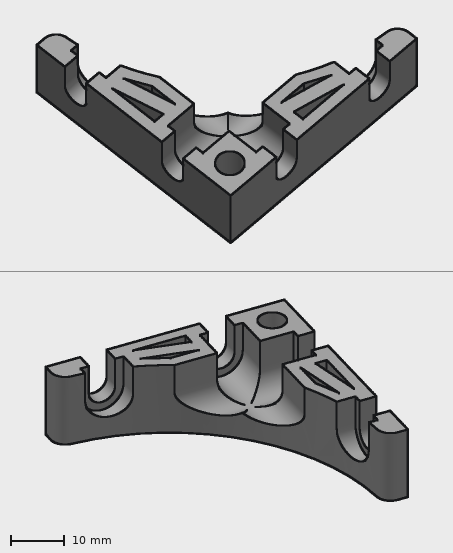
import cadquery as cq
import math

leg = 50.0
height = 15.0
tip_thickness = 5.0
tip_radius = 3.0

screw_diameter = 5.5
head_diameter = 9.0
slot_axis_height = 9.0
wall = 3.5
slot_distances = (15.0, 40.0)

hole_diameter = 5.5
hole_offset = 5.25

window_near = 22.0
window_far = 33.0
window_bend = 28.0
window_bottom = 2.5
window_top = 8.0
brace_rise = 2.35

cut_margin = 0.5


def mirror_leg(shape):
    """Copy a feature of the X leg onto the Y leg, across the bracket's diagonal."""
    corner = (leg, 0, 0)
    return shape.mirror("XZ", corner).rotate(corner, (leg, 0, 1), -90)


def make_body():
    """Bracket with a concave arc centred on the corner opposite the outer one."""
    arc_radius = leg - tip_thickness
    round_x = tip_radius
    round_y = leg - math.sqrt((arc_radius + tip_radius) ** 2 - tip_radius**2)
    shrink = arc_radius / (arc_radius + tip_radius)
    tangent = (round_x * shrink, leg - (leg - round_y) * shrink)
    direction = math.atan2(tangent[1] - round_y, tangent[0] - round_x)
    mid_angle = (direction + math.pi) / 2
    round_mid = (
        round_x + tip_radius * math.cos(mid_angle),
        round_y + tip_radius * math.sin(mid_angle),
    )
    half = arc_radius * math.sqrt(0.5)

    def across(point):
        return (leg - point[1], leg - point[0])

    return (
        cq.Workplane("XY")
        .moveTo(leg, 0)
        .lineTo(0, 0)
        .lineTo(0, round_y)
        .threePointArc(round_mid, tangent)
        .threePointArc((half, leg - half), across(tangent))
        .threePointArc(across(round_mid), across((0, round_y)))
        .lineTo(leg, leg)
        .close()
        .extrude(height)
    )


def slot(x, diameter, start):
    """Round-bottomed slot along +Y, open at the top."""
    radius = diameter / 2
    top = height + cut_margin
    return (
        cq.Workplane("XZ", origin=(x, start, slot_axis_height))
        .moveTo(-radius, top - slot_axis_height)
        .lineTo(-radius, 0)
        .threePointArc((0, -radius), (radius, 0))
        .lineTo(radius, top - slot_axis_height)
        .close()
        .extrude(-leg)
    )


def window(points):
    """Window through the full height; points are (distance from corner, Y)."""
    outline = [(leg - distance, y) for distance, y in points]
    return cq.Workplane("XY").polyline(outline).close().extrude(height)


upper_window = window(
    [(window_far, window_top - brace_rise), (window_bend, window_top), (window_near, window_top)]
)
lower_window = window(
    [
        (window_far, window_bottom),
        (window_near, window_bottom),
        (window_near, window_bottom + brace_rise),
    ]
)

leg_cuts = [upper_window, lower_window]
for distance in slot_distances:
    leg_cuts.append(slot(leg - distance, screw_diameter, -cut_margin))
    leg_cuts.append(slot(leg - distance, head_diameter, wall))

result = make_body()
for cut in leg_cuts:
    result = result.cut(cut).cut(mirror_leg(cut))

corner_hole = (
    cq.Workplane("XY")
    .center(leg - hole_offset, hole_offset)
    .circle(hole_diameter / 2)
    .extrude(height)
)
result = result.cut(corner_hole)